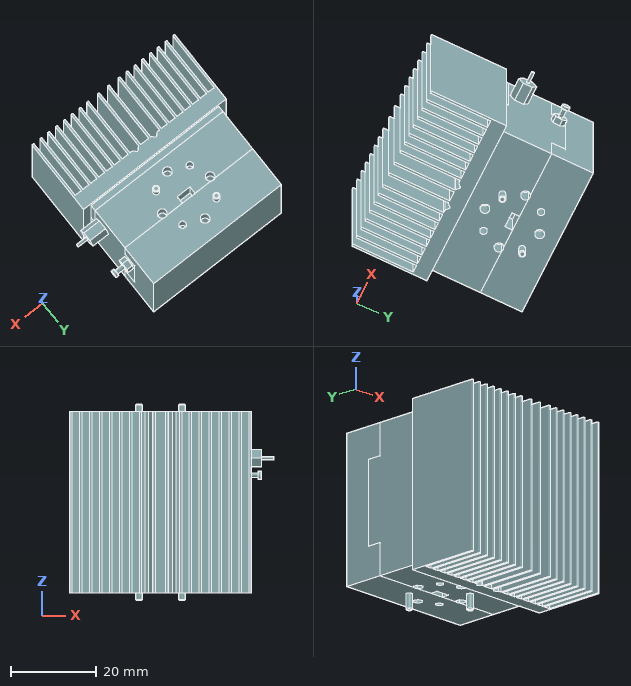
import cadquery as cq
import math


block_size = 38.1
block_half = block_size / 2
block_back_y = 11.85
block_front_y = -block_back_y

port_width = 3.8
port_height = 1.95
port_depth = 8.25
split_y = port_height / 2

tongue_top_y = 4.65
tongue_half_height = block_half - port_depth

cover_thickness = 1.6
cover_bottom_z = 2.5
cover_back_y = block_front_y + cover_thickness

flange_radius = 7.1
screw_hole_diameter = 2.25
dowel_hole_diameter = 1.7
hole_depth = 5.75
drill_point_angle = 118.0
pin_diameter = 1.63
pin_tip_span = 46.0
pin_length = (pin_tip_span - block_size) / 2
pin_chamfer = 0.25
diagonal = flange_radius * math.sqrt(0.5)
screw_hole_places = [(flange_radius, 0), (-flange_radius, 0), (0, flange_radius), (0, -flange_radius)]
dowel_hole_places = [(diagonal, diagonal), (-diagonal, -diagonal)]
back_pin_place = (-diagonal, diagonal)
front_pin_place = (diagonal, -diagonal)

sink_size = 42.55
sink_base_thickness = 3.85
sink_depth = 19.55
fin_thickness = 0.55
fin_tip_radius = 0.1
outer_fins_per_side = 8
outer_fin_span = 16.3
fin_pitch = outer_fin_span / (outer_fins_per_side - 1)
inner_fin_x = 1.5
notch_x = 2.75
notch_half_width = 0.9
notch_height = 0.85
sink_base_front_y = block_front_y - sink_base_thickness
fin_length = sink_depth - sink_base_thickness

coax_y = -7.5
coax_z = 10.32
coax_hex_flats = 4.05
coax_hex_length = 4.65
coax_pin_diameter = 0.75
coax_tip_x = 26.55
coax_pin_length = coax_tip_x - block_half - coax_hex_length

terminal_y = 2.55
terminal_z = 6.3
terminal_hex_flats = 3.05
terminal_hex_turn = -15.0
terminal_hex_length = 1.6
terminal_stem_diameter = 1.1
terminal_stem_length = 2.25
terminal_head_diameter = 1.95
terminal_head_length = 0.75


def box_between(x_range, y_range, z_range):
    """Box given by its lower and upper limit along each axis."""
    lows, highs = zip(x_range, y_range, z_range)
    sizes = [high - low for low, high in zip(lows, highs)]
    return cq.Workplane("XY").box(*sizes, centered=False).translate(lows)


def with_mirror_image(shape):
    """The shape at the top flange together with its mirror image at the bottom flange."""
    return shape.union(shape.mirror("XY"))


def drilled_hole(place, diameter):
    """Blind hole with a conical bottom, drilled down from the top flange."""
    radius = diameter / 2
    tip_depth = radius / math.tan(math.radians(drill_point_angle / 2))
    profile = [(0, 0), (radius, 0), (radius, -hole_depth), (0, -hole_depth - tip_depth)]
    hole = cq.Workplane("XZ").polyline(profile).close().revolve(360, (0, 0), (0, 1))
    return hole.translate((*place, block_half))


def flange_holes():
    """Screw and dowel holes of both flanges."""
    holes = cq.Workplane("XY")
    for place in screw_hole_places:
        holes = holes.add(with_mirror_image(drilled_hole(place, screw_hole_diameter)))
    for place in dowel_hole_places:
        holes = holes.add(with_mirror_image(drilled_hole(place, dowel_hole_diameter)))
    return holes.combine()


def alignment_pins(place):
    """Chamfered pin standing on the top flange, and the same on the bottom flange."""
    pin = cq.Workplane("XY").circle(pin_diameter / 2).extrude(pin_length)
    pin = pin.faces(">Z").chamfer(pin_chamfer)
    return with_mirror_image(pin.translate((*place, block_half)))


def tongue():
    """Bar along X that stands behind the split plane."""
    heights = (-tongue_half_height, tongue_half_height)
    return box_between((-block_half, block_half), (split_y, tongue_top_y), heights)


def waveguide_ports():
    """Rectangular port in each flange."""
    widths = (-port_width / 2, port_width / 2)
    port = box_between(widths, (-port_height / 2, split_y), (block_half - port_depth, block_half))
    return with_mirror_image(port)


def cover_plate():
    """Plate let into the front block, between it and the heat sink."""
    return box_between(
        (-block_half, block_half), (block_front_y, cover_back_y), (cover_bottom_z, block_half)
    )


def hexagon(flats, length, turn=0.0):
    """Hexagonal bar that stands on the +X side, with a flat facing +Z at zero turn."""
    corners = flats / math.cos(math.pi / 6)
    bar = cq.Workplane("YZ").polygon(6, corners).extrude(length)
    return bar.rotate((0, 0, 0), (1, 0, 0), turn)


def with_round_end(bar, diameter, length):
    """The bar extended along +X by a centred cylinder."""
    return bar.faces(">X").workplane().circle(diameter / 2).extrude(length)


def coax_connector():
    """Hexagonal body with a thin centre pin."""
    connector = hexagon(coax_hex_flats, coax_hex_length)
    connector = with_round_end(connector, coax_pin_diameter, coax_pin_length)
    return connector.translate((block_half, coax_y, coax_z))


def bias_terminal():
    """Hexagonal base with a headed stem."""
    terminal = hexagon(terminal_hex_flats, terminal_hex_length, terminal_hex_turn)
    terminal = with_round_end(terminal, terminal_stem_diameter, terminal_stem_length)
    terminal = with_round_end(terminal, terminal_head_diameter, terminal_head_length)
    return terminal.translate((block_half, terminal_y, terminal_z))


def back_block():
    """Back half of the housing with its two pins."""
    span = (-block_half, block_half)
    block = box_between(span, (split_y, block_back_y), span)
    block = block.cut(tongue()).cut(flange_holes())
    return block.union(alignment_pins(back_pin_place))


def front_block():
    """Front half of the housing with its two pins and the parts on its +X side."""
    span = (-block_half, block_half)
    block = box_between(span, (block_front_y, split_y), span).union(tongue())
    block = block.cut(cover_plate()).cut(waveguide_ports()).cut(flange_holes())
    block = block.union(alignment_pins(front_pin_place))
    return block.union(coax_connector()).union(bias_terminal())


def fin_centres():
    """X of every fin on the +X half, from the middle outwards."""
    outermost = (sink_size - fin_thickness) / 2
    outer = [outermost - i * fin_pitch for i in range(outer_fins_per_side)]
    return [inner_fin_x] + outer


def heat_sink():
    """Base plate with thin fins along Z and two V notches in its front face."""
    half = sink_size / 2
    sink = box_between((-half, half), (sink_base_front_y, block_front_y), (-half, half))
    notch_outline = [(-notch_half_width, 0), (0, notch_height), (notch_half_width, 0)]
    notch = cq.Workplane("XY").polyline(notch_outline).close().extrude(half, both=True)
    fin = cq.Workplane("XY").box(fin_thickness, fin_length, sink_size)
    fin = fin.edges("<Y and |Z").fillet(fin_tip_radius)
    for side in (-1, 1):
        sink = sink.cut(notch.translate((side * notch_x, sink_base_front_y, 0)))
        for x in fin_centres():
            sink = sink.union(fin.translate((side * x, sink_base_front_y - fin_length / 2, 0)))
    return sink


result = cq.Compound.makeCompound(
    [back_block().val(), front_block().val(), cover_plate().val(), heat_sink().val()]
)